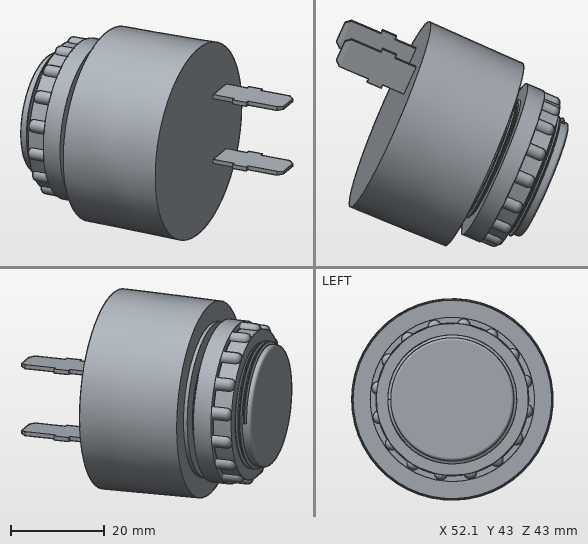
import cadquery as cq

BODY_REAR_RADIUS = 43.0 / 2
BODY_FRONT_RADIUS = 21.15
BODY_FRONT_X = 14.05
BODY_REAR_X = 35.95

COLLAR_RADIUS = 16.8
COLLAR_FRONT_X = 13.25

NECK_RADIUS = 13.15
NECK_EDGE_FILLET = 0.55

THREAD_CREST_RADIUS = 13.75
THREAD_ROOT_WIDTH = 0.9
THREAD_CREST_WIDTH = 0.15
THREAD_SINK = 0.15
THREAD_START_X = 1.45
THREAD_END_X = (COLLAR_FRONT_X + BODY_FRONT_X) / 2
THREAD_TURNS = 12.2
THREAD_PITCH = (THREAD_END_X - THREAD_START_X) / THREAD_TURNS

GRIP_RADIUS = 16.2
GRIP_FRONT_X = 3.5
FLANGE_RADIUS = 17.5
FLANGE_FRONT_X = 7.6
FLANGE_REAR_X = 11.55
NUT_CORNER_FILLET = 0.1

KNOB_COUNT = 16
KNOB_RADIUS = 1.4
KNOB_CIRCLE_RADIUS = 15.95
KNOB_NOSE_FILLET = 1.15
KNOB_FIRST_ANGLE = 8.8

TERMINAL_TIP_X = 52.1
TERMINAL_WIDTH = 6.45
TERMINAL_THICKNESS = 0.95
TERMINAL_Y = 10.5
TERMINAL_Z = 7.5
TIP_LENGTH = 1.1
TIP_SIDE_INSET = 0.95
TIP_FACE_INSET = 0.15
EAR_FRONT_X = 40.85
EAR_REAR_X = 44.15
EAR_SPAN = 8.0


def cylinder(radius, start_x, end_x):
    """Solid cylinder about the X axis."""
    return cq.Workplane("YZ").workplane(offset=start_x).circle(radius).extrude(end_x - start_x)


def make_body():
    profile = [
        (BODY_FRONT_X, 0),
        (BODY_FRONT_X, BODY_FRONT_RADIUS),
        (BODY_REAR_X, BODY_REAR_RADIUS),
        (BODY_REAR_X, 0),
    ]
    body = cq.Workplane("XY").polyline(profile).close().revolve(360, (0, 0, 0), (1, 0, 0))
    return body.union(cylinder(COLLAR_RADIUS, COLLAR_FRONT_X, BODY_FRONT_X))


def make_neck():
    return cylinder(NECK_RADIUS, 0, BODY_FRONT_X).faces("<X").edges().fillet(NECK_EDGE_FILLET)


def make_thread():
    """Ridge swept along a helix about Z, then turned so that the helix runs along +X."""
    base_radius = NECK_RADIUS - THREAD_SINK
    half_root = THREAD_ROOT_WIDTH / 2
    half_crest = THREAD_CREST_WIDTH / 2
    profile = [
        (base_radius, -half_root),
        (THREAD_CREST_RADIUS, -half_crest),
        (THREAD_CREST_RADIUS, half_crest),
        (base_radius, half_root),
    ]
    helix = cq.Wire.makeHelix(THREAD_PITCH, THREAD_END_X - THREAD_START_X, NECK_RADIUS)
    ridge = cq.Workplane("XZ").polyline(profile).close().sweep(cq.Workplane(helix), isFrenet=True)
    ridge = ridge.rotate((0, 0, 0), (1, 1, 1), 120)
    return ridge.translate((THREAD_START_X, 0, 0))


def make_nut():
    knob = cylinder(KNOB_RADIUS, GRIP_FRONT_X, FLANGE_FRONT_X)
    knob = knob.faces("<X").edges().fillet(KNOB_NOSE_FILLET)
    knob = knob.translate((0, 0, KNOB_CIRCLE_RADIUS))

    nut = cylinder(GRIP_RADIUS, GRIP_FRONT_X, FLANGE_FRONT_X)
    for index in range(KNOB_COUNT):
        angle = KNOB_FIRST_ANGLE + index * 360 / KNOB_COUNT
        nut = nut.union(knob.rotate((0, 0, 0), (1, 0, 0), angle))
    nut = nut.union(cylinder(FLANGE_RADIUS, FLANGE_FRONT_X, FLANGE_REAR_X))

    corner_zone = cq.selectors.BoxSelector(
        (FLANGE_FRONT_X - NUT_CORNER_FILLET, -FLANGE_RADIUS, -FLANGE_RADIUS),
        (FLANGE_FRONT_X + NUT_CORNER_FILLET, FLANGE_RADIUS, FLANGE_RADIUS),
    )
    front_edges = nut.faces(corner_zone).edges().vals()
    corner_edges = [
        edge for edge in front_edges
        if edge.geomType() != "CIRCLE" or edge.radius() < FLANGE_RADIUS
    ]
    return nut.newObject(corner_edges).fillet(NUT_CORNER_FILLET)


def flat_bar(start_x, end_x, width):
    """Bar of terminal thickness along X, centred on the X axis."""
    section = cq.Workplane("YZ").workplane(offset=start_x).rect(width, TERMINAL_THICKNESS)
    return section.extrude(end_x - start_x)


def make_terminal():
    """Upper terminal: flat blade with two side ears and a tapered tip."""
    tip_base_x = TERMINAL_TIP_X - TIP_LENGTH
    blade = flat_bar(BODY_REAR_X, tip_base_x, TERMINAL_WIDTH)
    ears = flat_bar(EAR_FRONT_X, EAR_REAR_X, EAR_SPAN)
    tip = (
        cq.Workplane("YZ")
        .workplane(offset=tip_base_x)
        .rect(TERMINAL_WIDTH, TERMINAL_THICKNESS)
        .workplane(offset=TIP_LENGTH)
        .rect(TERMINAL_WIDTH - 2 * TIP_SIDE_INSET, TERMINAL_THICKNESS - 2 * TIP_FACE_INSET)
        .loft(ruled=True)
    )
    return blade.union(ears).union(tip).translate((0, TERMINAL_Y, TERMINAL_Z))


upper_terminal = make_terminal()
lower_terminal = upper_terminal.mirror("XY")

result = (
    make_neck()
    .union(make_thread())
    .union(make_nut())
    .union(make_body())
    .union(upper_terminal)
    .union(lower_terminal)
)